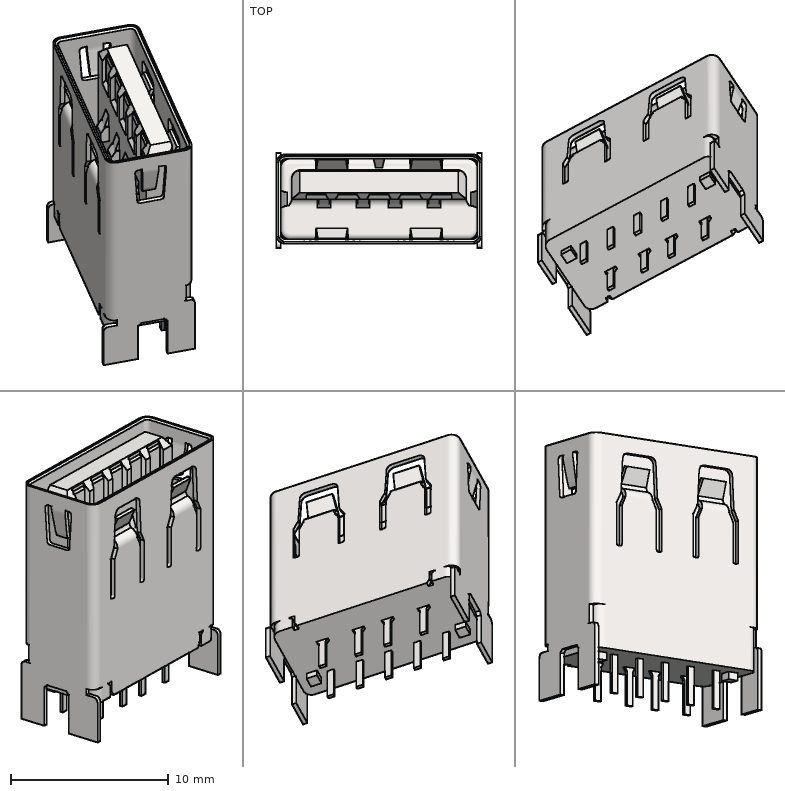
import cadquery as cq

TOTAL_HEIGHT = 16.5
SHELL_WIDTH = 13.1
SHELL_DEPTH = 5.71
SHEET = 0.3
SHELL_CORNER = 0.61
BODY_BOTTOM = 2.49

HALF_W = SHELL_WIDTH / 2
HALF_D = SHELL_DEPTH / 2
INNER_HALF_W = HALF_W - SHEET
INNER_HALF_D = HALF_D - SHEET

LEAD_IN_WIDTH = 0.1
LEAD_IN_HEIGHT = 0.16
SELECT_MARGIN = 0.02

LEG_FRONT_Y = -3.12
LEG_BACK_Y = 2.94
LEG_FRONT_TOP = 3.09
LEG_BACK_TOP = 4.1
LEG_CORNER = 0.31
LEG_GAP_FRONT_Y = -0.82
LEG_GAP_BACK_Y = 1.12
LEG_GAP_TOP = 2.92
LEG_GAP_CHAMFER = 0.21

FRONT_RELIEF_TOP = 3.51
FRONT_RELIEF_Y = -2.21
FRONT_RELIEF_X = 4.67
FRONT_RELIEF_FLARE = 0.18
FRONT_RELIEF_FLARE_HEIGHT = 0.31
BACK_RELIEF_TOP = 5.33
BACK_RELIEF_Y = 2.35

FLOOR_Z = 5.94
FLOOR_EDGE_RADIUS = 0.33
BLOCK_CORNER = 0.55
BLOCK_INNER_X = 4.82
BLOCK_CHAMFER = 0.23
KEY_HALF_ROOT = 0.35
KEY_HALF_TIP = 0.21
KEY_REACH = 0.56
KEY_TOP = 8.58
KEY_TIP_TOP = 7.59

TONGUE_HALF_W = 5.56
TONGUE_TOP_HALF_W = 5.05
TONGUE_BACK_Y = 1.86
TONGUE_TOP_BACK_Y = 1.77
TONGUE_TOP_FRONT_Y = 0.41
TONGUE_TOP = 16.17
TONGUE_BEVEL = 0.65
TONGUE_CORNER = 0.6
TONGUE_ROOT_FILLET = 0.23
TONGUE_FRONT_ROOT = 0.48

POCKET_PITCH = 2.0
POCKET_INDICES = range(-2, 3)
POCKET_HALF_W = 0.78
POCKET_DEEP_HALF_W = 0.61
POCKET_LIMIT_X = 4.62
POCKET_DEPTH = 0.38
POCKET_FACE = 0.26
POCKET_FLOOR_FRONT = 13.7
POCKET_FLOOR_BACK = 13.96
STRIP_TOP = 15.87
STRIP_SHOULDER = 15.7

SPRING_POSITIONS = (-3.5, -1.0, 1.0, 3.5)
SPRING_NECK_W = 0.68
SPRING_W = 0.85
SPRING_NECK_TOP = 12.21
SPRING_NECK_REACH = 0.28
SPRING_SHOULDER = 11.35
SPRING_FACE_TOP = 10.9
SPRING_BOTTOM = 10.18
SPRING_REACH = 0.56

PIN_W = 0.45
PIN_THICK = 0.2
FRONT_PIN_Y = -1.02
BACK_PIN_Y = 1.48
FLARE_W = 0.8
FLARE_HEIGHT = 0.28

PEG_X = 5.15
PEG_W = 0.73
PEG_FRONT_Y = 1.05
PEG_BOTTOM = 2.0

FINGER_X = 3.0
WINDOW_BOTTOM = 9.3
WINDOW_KNEE_LOW = 12.13
WINDOW_KNEE_HIGH = 12.8
WINDOW_TOP = 15.41
WINDOW_LEG_HALF_W = 1.77
WINDOW_NECK_HALF_W = 1.42
WINDOW_TOP_HALF_W = 1.29
WINDOW_CORNER = 0.45
SLOT_W = 0.41
SLOT_END_RADIUS = 0.13
FINGER_KNEE_LOW = 11.98
FINGER_BEND_Z = 12.6
FINGER_NECK_HALF_W = 1.05
FINGER_TIP_HALF_W = 0.89
FINGER_TIP = 14.65
FINGER_OUTER_FACE = ((0.13, 12.97), (0.48, 13.2), (0.56, 13.35), (0.6, 13.51), (0.12, 14.59))
FINGER_INNER_FACE = ((0.12, 12.82), (0.43, 12.99), (0.68, 13.27), (0.61, 13.58), (0.07, FINGER_TIP))

TAB_WINDOW_TOP = 15.56
TAB_WINDOW_BOTTOM = 12.82
TAB_WINDOW_HALF_TOP = 1.05
TAB_WINDOW_HALF_BOTTOM = 0.87
TAB_WINDOW_CORNER = 0.23
TAB_HALF_TOP = 0.55
TAB_HALF_BOTTOM = 0.43
TAB_HINGE = 15.38
TAB_BEND = 15.23
TAB_KNEE = 13.7
TAB_BOTTOM = 13.41
TAB_BEND_INSET = 0.02
TAB_KNEE_INSET = 0.31
TAB_TIP_INSET = 0.41


def box(x0, x1, y0, y1, z0, z1):
    return cq.Workplane("XY").box(x1 - x0, y1 - y0, z1 - z0, centered=False).translate((x0, y0, z0))


def extrude_along_x(sketch, x0, x1):
    """Extrude a closed YZ outline from x0 to x1."""
    return sketch.extrude(x1 - x0).translate((x0, 0, 0))


def extrude_along_y(points, y0, y1):
    """Extrude a closed XZ polygon from y0 to y1."""
    return cq.Workplane("XZ").polyline(points).close().extrude(y0 - y1).translate((0, y0, 0))


def mirrored_outline(half_points):
    """Close an outline that is symmetric about its first coordinate."""
    return half_points + [(-u, v) for u, v in reversed(half_points)]


def both_sides(body):
    """Add the mirror image on the opposite side in X."""
    return body.union(body.mirror("YZ"))


def around(half_w, y0, y1, z):
    """Select edges lying wholly at height z within the given X and Y limits."""
    low = (-half_w - SELECT_MARGIN, y0 - SELECT_MARGIN, z - SELECT_MARGIN)
    high = (half_w + SELECT_MARGIN, y1 + SELECT_MARGIN, z + SELECT_MARGIN)
    return cq.selectors.BoxSelector(low, high, boundingbox=True)


def make_tube():
    """Rounded rectangular tube with a lead-in around the mouth."""
    height = TOTAL_HEIGHT - BODY_BOTTOM
    outer = cq.Workplane("XY").workplane(offset=BODY_BOTTOM).rect(SHELL_WIDTH, SHELL_DEPTH)
    outer = outer.extrude(height).edges("|Z").fillet(SHELL_CORNER)
    inner = cq.Workplane("XY").workplane(offset=BODY_BOTTOM).rect(2 * INNER_HALF_W, 2 * INNER_HALF_D)
    inner = inner.extrude(height).edges("|Z").fillet(SHELL_CORNER - SHEET)
    tube = outer.cut(inner)
    rim = tube.faces(">Z").edges(around(INNER_HALF_W, -INNER_HALF_D, INNER_HALF_D, TOTAL_HEIGHT))
    return rim.chamfer(LEAD_IN_HEIGHT, LEAD_IN_WIDTH)


def make_corner_reliefs():
    """Cuts at the lower left corners that separate the legs from the bends."""
    cut_x = FRONT_RELIEF_X
    front = extrude_along_y(
        [
            (-HALF_W, BODY_BOTTOM),
            (-HALF_W, FRONT_RELIEF_TOP),
            (-cut_x, FRONT_RELIEF_TOP),
            (-cut_x, BODY_BOTTOM + FRONT_RELIEF_FLARE_HEIGHT),
            (-cut_x + FRONT_RELIEF_FLARE, BODY_BOTTOM),
        ],
        -HALF_D,
        -INNER_HALF_D,
    )
    corner_x = -INNER_HALF_W + BLOCK_CORNER
    front_corner = box(-HALF_W, corner_x, -HALF_D, FRONT_RELIEF_Y, BODY_BOTTOM, FRONT_RELIEF_TOP)
    back_corner = box(-HALF_W, corner_x, BACK_RELIEF_Y, HALF_D, BODY_BOTTOM, BACK_RELIEF_TOP)
    return front.union(front_corner).union(back_corner)


def make_legs():
    """Left side plate below the bends, split into a front and a back leg."""
    front = box(-HALF_W, -INNER_HALF_W, LEG_FRONT_Y, 0, 0, LEG_FRONT_TOP)
    front = front.edges("|X and >Z and <Y").fillet(LEG_CORNER)
    back = box(-HALF_W, -INNER_HALF_W, 0, LEG_BACK_Y, 0, LEG_BACK_TOP)
    back = back.edges("|X and >Z and >Y").fillet(LEG_CORNER)
    gap = box(-HALF_W, -INNER_HALF_W, LEG_GAP_FRONT_Y, LEG_GAP_BACK_Y, 0, LEG_GAP_TOP)
    gap = gap.edges("|X and >Z").chamfer(LEG_GAP_CHAMFER)
    return front.union(back), gap


def make_finger_window():
    """Opening around one front finger, including both side slots."""
    outline = mirrored_outline(
        [
            (WINDOW_LEG_HALF_W, WINDOW_BOTTOM),
            (WINDOW_LEG_HALF_W, WINDOW_KNEE_LOW),
            (WINDOW_NECK_HALF_W, WINDOW_KNEE_HIGH),
            (WINDOW_TOP_HALF_W, WINDOW_TOP),
        ]
    )
    window = extrude_along_y(outline, -HALF_D, -INNER_HALF_D)
    window = window.edges("|Y and >Z").fillet(WINDOW_CORNER)
    root_half_w = WINDOW_LEG_HALF_W - SLOT_W
    root = box(-root_half_w, root_half_w, -HALF_D, -INNER_HALF_D, WINDOW_BOTTOM, FINGER_KNEE_LOW)
    return window.cut(root).edges("|Y and <Z").fillet(SLOT_END_RADIUS)


def make_finger():
    """Front finger, bent inwards and back out towards its tip."""
    root_half_w = WINDOW_LEG_HALF_W - SLOT_W
    outline = mirrored_outline(
        [
            (root_half_w, FINGER_KNEE_LOW),
            (FINGER_NECK_HALF_W, FINGER_BEND_Z),
            (FINGER_TIP_HALF_W, FINGER_TIP),
        ]
    )
    plan = extrude_along_y(outline, -HALF_D, 0)
    outer_bend, outer_mid, outer_valley, outer_valley_end, outer_tip = (
        (inset - HALF_D, z) for inset, z in FINGER_OUTER_FACE
    )
    inner_bend, inner_mid, inner_crest, inner_crest_end, inner_tip = (
        (inset - INNER_HALF_D, z) for inset, z in FINGER_INNER_FACE
    )
    bend = (
        cq.Workplane("YZ")
        .moveTo(-HALF_D, FINGER_KNEE_LOW)
        .lineTo(-HALF_D, FINGER_BEND_Z)
        .threePointArc(outer_bend, outer_mid)
        .threePointArc(outer_valley, outer_valley_end)
        .lineTo(*outer_tip)
        .lineTo(*inner_tip)
        .lineTo(*inner_crest_end)
        .threePointArc(inner_crest, inner_mid)
        .threePointArc(inner_bend, (-INNER_HALF_D, FINGER_BEND_Z))
        .lineTo(-INNER_HALF_D, FINGER_KNEE_LOW)
        .close()
    )
    return plan.intersect(extrude_along_x(bend, -root_half_w, root_half_w))


def make_tab_window():
    """Opening around the locking tab of the left side panel."""
    outline = mirrored_outline(
        [(TAB_WINDOW_HALF_BOTTOM, TAB_WINDOW_BOTTOM), (TAB_WINDOW_HALF_TOP, TAB_WINDOW_TOP)]
    )
    window = extrude_along_x(cq.Workplane("YZ").polyline(outline).close(), -HALF_W, -INNER_HALF_W)
    window = window.edges("|X").fillet(TAB_WINDOW_CORNER)
    hinge = box(-HALF_W, -INNER_HALF_W, -TAB_HALF_TOP, TAB_HALF_TOP, TAB_HINGE, TAB_WINDOW_TOP)
    return window.cut(hinge)


def make_tab():
    """Locking tab of the left side panel, hanging down and inwards."""
    outline = mirrored_outline([(TAB_HALF_BOTTOM, TAB_BOTTOM), (TAB_HALF_TOP, TAB_HINGE)])
    plan = extrude_along_x(cq.Workplane("YZ").polyline(outline).close(), -HALF_W, 0)
    outer_face = [
        (-HALF_W, TAB_HINGE),
        (-HALF_W + TAB_BEND_INSET, TAB_BEND),
        (-HALF_W + TAB_KNEE_INSET, TAB_KNEE),
        (-HALF_W + TAB_TIP_INSET, TAB_BOTTOM),
    ]
    inner_face = [(x + SHEET, z) for x, z in reversed(outer_face)]
    bend = extrude_along_y(outer_face + inner_face, -TAB_HALF_TOP, TAB_HALF_TOP)
    return plan.intersect(bend)


def make_shell():
    legs, leg_gap = make_legs()
    shell = make_tube().cut(both_sides(make_corner_reliefs()))
    shell = shell.union(both_sides(legs)).cut(both_sides(leg_gap))
    shell = shell.cut(both_sides(make_tab_window())).union(both_sides(make_tab()))
    window = both_sides(make_finger_window().translate((FINGER_X, 0, 0)))
    finger = both_sides(make_finger().translate((FINGER_X, 0, 0)))
    for panel_window, panel_finger in ((window, finger), (window.mirror("XZ"), finger.mirror("XZ"))):
        shell = shell.cut(panel_window).union(panel_finger)
    return shell


def make_base():
    """Block closing the bottom of the shell, with its upper edge rounded."""
    base = box(-INNER_HALF_W, INNER_HALF_W, -INNER_HALF_D, INNER_HALF_D, BODY_BOTTOM, FLOOR_Z)
    base = base.edges("|Z").fillet(BLOCK_CORNER)
    return base.faces(">Z").edges().fillet(FLOOR_EDGE_RADIUS)


def make_relief_blocks():
    """Left housing blocks that fill the corner reliefs flush with the panels."""
    front = box(-INNER_HALF_W, -BLOCK_INNER_X, -HALF_D, 0, BODY_BOTTOM, FRONT_RELIEF_TOP)
    front = front.edges("|Z and <X and <Y").fillet(BLOCK_CORNER)
    front = front.edges("|Y and >X and >Z").chamfer(BLOCK_CHAMFER)
    back = box(-INNER_HALF_W, -BLOCK_INNER_X, 0, HALF_D, BODY_BOTTOM, BACK_RELIEF_TOP)
    back = back.edges("|Z and <X and >Y").fillet(BLOCK_CORNER)
    return front.union(back)


def make_key():
    """Tapered key with a sloped top on the inside of the back panel."""
    tip_y = INNER_HALF_D - KEY_REACH
    plan = [(KEY_HALF_ROOT, INNER_HALF_D), (KEY_HALF_TIP, tip_y)]
    key = cq.Workplane("XY").polyline(mirrored_outline(plan)).close().extrude(KEY_TOP)
    side = [
        (INNER_HALF_D, FLOOR_Z - FLOOR_EDGE_RADIUS),
        (INNER_HALF_D, KEY_TOP),
        (tip_y, KEY_TIP_TOP),
        (tip_y, FLOOR_Z - FLOOR_EDGE_RADIUS),
    ]
    sketch = cq.Workplane("YZ").polyline(side).close()
    return key.intersect(extrude_along_x(sketch, -KEY_HALF_ROOT, KEY_HALF_ROOT))


def make_tongue():
    """Tongue with sloped front and sides at the tip, standing on the base."""
    bevel_start = TONGUE_TOP - TONGUE_BEVEL
    tongue = box(-TONGUE_HALF_W, TONGUE_HALF_W, 0, TONGUE_BACK_Y, FLOOR_Z, TONGUE_TOP)
    tongue = tongue.edges("|Z and >Y").fillet(TONGUE_CORNER)
    front_outline = mirrored_outline(
        [(TONGUE_HALF_W, FLOOR_Z), (TONGUE_HALF_W, bevel_start), (TONGUE_TOP_HALF_W, TONGUE_TOP)]
    )
    tongue = tongue.intersect(extrude_along_y(front_outline, 0, TONGUE_BACK_Y))
    side_outline = [
        (0, FLOOR_Z),
        (0, bevel_start),
        (TONGUE_TOP_FRONT_Y, TONGUE_TOP),
        (TONGUE_TOP_BACK_Y, TONGUE_TOP),
        (TONGUE_BACK_Y, bevel_start),
        (TONGUE_BACK_Y, FLOOR_Z),
    ]
    sketch = cq.Workplane("YZ").polyline(side_outline).close()
    return tongue.intersect(extrude_along_x(sketch, -TONGUE_HALF_W, TONGUE_HALF_W))


def fillet_outline(plane, edge, radius):
    """Concave fillet outline at the floor, spreading to the negative side of edge."""
    outline = cq.Workplane(plane).moveTo(edge, FLOOR_Z).lineTo(edge - radius, FLOOR_Z)
    return outline.radiusArc((edge, FLOOR_Z + radius), -radius).close()


def make_front_root():
    """Concave fillet in front of the tongue, mitred with the side fillets."""
    half_w = TONGUE_HALF_W + TONGUE_ROOT_FILLET
    front = extrude_along_x(fillet_outline("YZ", 0, TONGUE_FRONT_ROOT), -half_w, half_w)
    side = fillet_outline("XZ", -TONGUE_HALF_W, TONGUE_ROOT_FILLET).extrude(TONGUE_FRONT_ROOT)
    middle = box(-TONGUE_HALF_W, TONGUE_HALF_W, -TONGUE_FRONT_ROOT, 0, FLOOR_Z, TONGUE_TOP)
    return front.intersect(middle.union(both_sides(side)))


def make_pocket():
    """Pocket with tapered sides and a sloped floor, less its contact strip."""
    plan = [
        (POCKET_HALF_W, 0),
        (POCKET_DEEP_HALF_W, POCKET_FACE),
        (POCKET_DEEP_HALF_W, POCKET_DEPTH),
    ]
    prism = cq.Workplane("XY").polyline(mirrored_outline(plan)).close().extrude(TONGUE_TOP)
    side = [
        (0, POCKET_FLOOR_FRONT),
        (0, TONGUE_TOP),
        (POCKET_DEPTH, TONGUE_TOP),
        (POCKET_DEPTH, STRIP_TOP),
        (POCKET_FACE, STRIP_SHOULDER),
        (POCKET_FACE, POCKET_FLOOR_BACK),
    ]
    sketch = cq.Workplane("YZ").polyline(side).close()
    return prism.intersect(extrude_along_x(sketch, -POCKET_HALF_W, POCKET_HALF_W))


def make_housing():
    housing = make_base().union(make_tongue())
    root = around(TONGUE_HALF_W, 0, TONGUE_BACK_Y, FLOOR_Z)
    housing = housing.edges(root).edges("not(|X and <Y)").fillet(TONGUE_ROOT_FILLET)
    housing = housing.union(make_front_root()).union(make_key())
    housing = housing.union(both_sides(make_relief_blocks()))
    pocket_limit = box(-POCKET_LIMIT_X, POCKET_LIMIT_X, 0, POCKET_DEPTH, FLOOR_Z, TONGUE_TOP)
    for index in POCKET_INDICES:
        pocket = make_pocket().translate((index * POCKET_PITCH, 0, 0))
        housing = housing.cut(pocket.intersect(pocket_limit))
    peg = box(PEG_X - PEG_W / 2, PEG_X + PEG_W / 2, PEG_FRONT_Y, PEG_FRONT_Y + PEG_W, PEG_BOTTOM, BODY_BOTTOM)
    return housing.union(both_sides(peg))


def make_spring():
    """Spring contact standing out from the front of the tongue."""
    neck = [(0, SPRING_NECK_TOP), (-SPRING_NECK_REACH, SPRING_SHOULDER), (0, SPRING_SHOULDER)]
    head = [
        (0, SPRING_SHOULDER),
        (-SPRING_NECK_REACH, SPRING_SHOULDER),
        (-SPRING_REACH, SPRING_FACE_TOP),
        (-SPRING_REACH, SPRING_BOTTOM),
        (0, SPRING_BOTTOM),
    ]
    neck_sketch = cq.Workplane("YZ").polyline(neck).close()
    head_sketch = cq.Workplane("YZ").polyline(head).close()
    neck_body = extrude_along_x(neck_sketch, -SPRING_NECK_W / 2, SPRING_NECK_W / 2)
    return neck_body.union(extrude_along_x(head_sketch, -SPRING_W / 2, SPRING_W / 2))


def make_pin(center_y):
    y0 = center_y - PIN_THICK / 2
    return box(-PIN_W / 2, PIN_W / 2, y0, y0 + PIN_THICK, 0, BODY_BOTTOM)


def make_flared_pin(center_y):
    """Straight pin that widens where it leaves the housing."""
    flare = mirrored_outline([(PIN_W / 2, BODY_BOTTOM - FLARE_HEIGHT), (FLARE_W / 2, BODY_BOTTOM)])
    y0 = center_y - PIN_THICK / 2
    return make_pin(center_y).union(extrude_along_y(flare, y0, y0 + PIN_THICK))


result = make_shell().union(make_housing())
for x in SPRING_POSITIONS:
    result = result.union(make_spring().translate((x, 0, 0)))
    result = result.union(make_flared_pin(FRONT_PIN_Y).translate((x, 0, 0)))
for index in POCKET_INDICES:
    result = result.union(make_pin(BACK_PIN_Y).translate((index * POCKET_PITCH, 0, 0)))